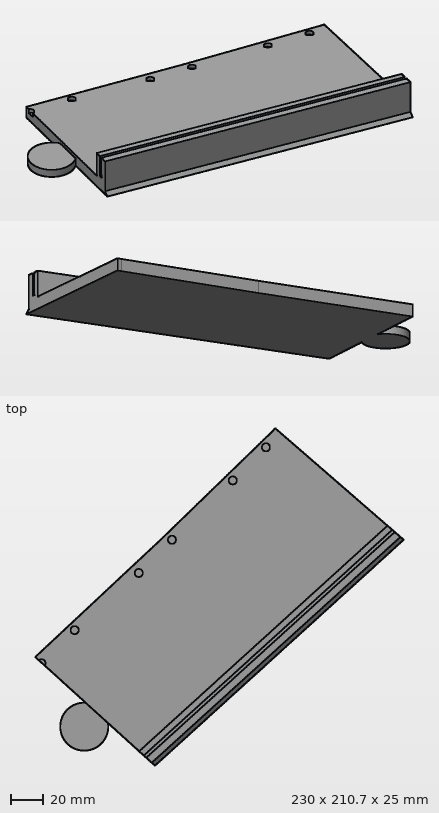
import cadquery as cq

total_height = 25.0
plate_height = 8.0

left_corner = (0, 67.9)
front_corner = (74.8, 0)
right_corner = (230, 141.0)
back_corner = (149.8, 210.7)
tip_facet_end = (148.0, 208.7)
long_side_bend = (78.7, 141.5)

foot_width = 2.8
foot_height = 2.5
wall_thickness = 10.5
wall_inner = foot_width + wall_thickness
slot_start = 7.4
slot_width = 2.0
slot_end = slot_start + slot_width
slot_depth = 15.0
slot_floor = total_height - slot_depth

hole_diameter = 5.0
hole_depth = 2.8
pair_offset = 20.7
pair_starts = [(144.0, 198.8), (85.4, 141.0), (24.6, 84.7)]

tab_center = (30.5, 24.5)
tab_diameter = 30.1
tab_height = 5.5


def make_body():
    """Sweep the plate-and-wall section along the wall edge, then trim it to the outline."""
    edge = cq.Vector(*right_corner) - cq.Vector(*front_corner)
    direction = edge.normalized()
    inward = cq.Vector(-direction.y, direction.x)
    run = edge.Length
    start = cq.Vector(*front_corner) - direction * run
    section_plane = cq.Plane(origin=start, xDir=inward, normal=direction)
    section = [
        (0, 0),
        (run, 0),
        (run, plate_height),
        (wall_inner, plate_height),
        (wall_inner, total_height),
        (slot_end, total_height),
        (slot_end, slot_floor),
        (slot_start, slot_floor),
        (slot_start, total_height),
        (foot_width, total_height),
        (foot_width, foot_height),
    ]
    swept = cq.Workplane(section_plane).polyline(section).close().extrude(3 * run)
    outline = [left_corner, front_corner, right_corner, back_corner, tip_facet_end, long_side_bend]
    prism = cq.Workplane("XY").polyline(outline).close().extrude(total_height)
    return swept.intersect(prism)


def make_tab():
    return cq.Workplane("XY").center(*tab_center).circle(tab_diameter / 2).extrude(tab_height)


def make_holes():
    centers = []
    for x, y in pair_starts:
        centers.append((x, y))
        centers.append((x - pair_offset, y - pair_offset))
    top = cq.Workplane("XY").workplane(offset=plate_height)
    return top.pushPoints(centers).circle(hole_diameter / 2).extrude(-hole_depth)


result = make_body().union(make_tab()).cut(make_holes())